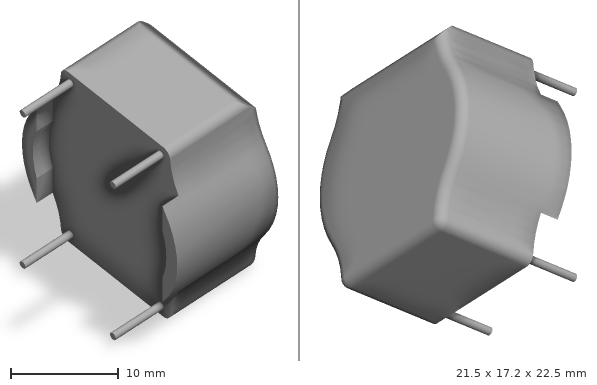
import cadquery as cq
import math

height = 22.5
depth = 11.2
side_radius = 10.75
waist_radius = 9.75
waist_center_z = 11.02
edge_radius = 1.0
bevel = 2.0
bevel_rounding = 1.0

lip_height = 2.0
lip_inner_x = 8.7
core_radius = 9.25

pin_diameter = 0.8
pin_length = 5.98
pin_spacing_x = 12.5
pin_spacing_z = 20.1

half_height = height / 2


def extrude_outline(y_start, y_end):
    """Housing outline, made of tangent bulges and hollows, extruded from y_start to y_end."""
    center_distance = side_radius + waist_radius
    waist_angle = math.asin(waist_center_z / center_distance)
    waist_center_x = center_distance * math.cos(waist_angle)
    tangent_x = side_radius * math.cos(waist_angle)
    tangent_z = side_radius * math.sin(waist_angle)
    corner_angle = math.asin((half_height - waist_center_z) / waist_radius)
    corner_x = waist_center_x - waist_radius * math.cos(corner_angle)
    middle_angle = (corner_angle - waist_angle) / 2
    middle_x = waist_center_x - waist_radius * math.cos(middle_angle)
    middle_z = waist_center_z + waist_radius * math.sin(middle_angle)

    return (
        cq.Workplane("XZ", origin=(0, y_end, 0))
        .moveTo(-corner_x, half_height)
        .lineTo(corner_x, half_height)
        .threePointArc((middle_x, middle_z), (tangent_x, tangent_z))
        .threePointArc((side_radius, 0), (tangent_x, -tangent_z))
        .threePointArc((middle_x, -middle_z), (corner_x, -half_height))
        .lineTo(-corner_x, -half_height)
        .threePointArc((-middle_x, -middle_z), (-tangent_x, -tangent_z))
        .threePointArc((-side_radius, 0), (-tangent_x, tangent_z))
        .threePointArc((-middle_x, middle_z), (-corner_x, half_height))
        .close()
        .extrude(y_end - y_start)
    )


def bevel_envelope():
    """Block covering the housing, with the rounded bevel on its upper back edge."""
    block = cq.Workplane("XY").box(height, depth, height).translate((0, depth / 2, 0))
    return (
        block.edges(">Y and >Z").chamfer(bevel)
        .faces(cq.selectors.DirectionMinMaxSelector(cq.Vector(0, 1, 1)))
        .edges("|X").fillet(bevel_rounding)
    )


def make_housing():
    body = extrude_outline(0, depth)
    body = body.edges("|Y and (>Z or <Z)").fillet(edge_radius)
    body = body.faces(">Y").edges().fillet(edge_radius)
    return body.intersect(bevel_envelope())


def make_lips():
    flat_relief = (
        cq.Workplane("XZ").rect(2 * lip_inner_x, height).extrude(lip_height)
    )
    round_relief = cq.Workplane("XZ").circle(core_radius).extrude(lip_height)
    return extrude_outline(-lip_height, 0).cut(flat_relief).cut(round_relief)


def make_pins():
    return (
        cq.Workplane("XZ")
        .rect(pin_spacing_x, pin_spacing_z, forConstruction=True)
        .vertices()
        .circle(pin_diameter / 2)
        .extrude(pin_length)
    )


result = make_housing().union(make_lips()).union(make_pins())